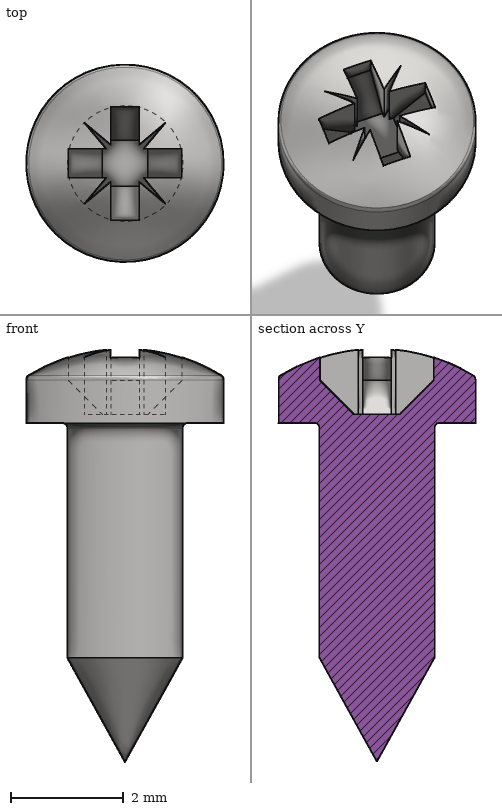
import cadquery as cq
import math

shank_length = 6.0
point_length = 1.85
shank_radius = 1.025
head_radius = 1.75
head_height = 1.33
rim_height = 0.82
rim_fillet = 0.09
neck_fillet = 0.08

recess_depth = 1.17
arm_width = 0.51
arm_reach = 1.005
floor_reach = 0.405

groove_reach = 1.015
groove_half_angle = math.radians(5)

dome_sag = head_height - rim_height
dome_radius = (head_radius ** 2 + dome_sag ** 2) / (2 * dome_sag)
floor_z = head_height - recess_depth


def dome_height(radius):
    """Height of the dome surface at a distance from the axis."""
    return head_height - dome_radius + math.sqrt(dome_radius ** 2 - radius ** 2)


def make_body():
    """Revolve half the screw outline, then round the rim of the head."""
    dome_middle = head_radius / 2
    outline = (
        cq.Workplane("XZ")
        .moveTo(0, -shank_length)
        .lineTo(shank_radius, point_length - shank_length)
        .lineTo(shank_radius, -neck_fillet)
        .tangentArcPoint((shank_radius + neck_fillet, 0), relative=False)
        .lineTo(head_radius, 0)
        .lineTo(head_radius, rim_height)
        .threePointArc((dome_middle, dome_height(dome_middle)), (0, head_height))
        .close()
    )
    body = outline.revolve(360, (0, 0, 0), (0, 1, 0))
    rim_center = cq.selectors.NearestToPointSelector((0, 0, rim_height))
    return body.edges("%CIRCLE").edges(rim_center).fillet(rim_fillet)


def make_arm_pair(angle):
    """Cutter for two opposite arms: upright ends that turn 45 degrees in towards the floor."""
    slope_top_z = floor_z + arm_reach - floor_reach
    profile = [
        (-floor_reach, floor_z),
        (floor_reach, floor_z),
        (arm_reach, slope_top_z),
        (arm_reach, head_height),
        (-arm_reach, head_height),
        (-arm_reach, slope_top_z),
    ]
    slot = cq.Workplane("XZ").polyline(profile).close().extrude(arm_width / 2, both=True)
    return slot.rotate((0, 0, 0), (0, 0, 1), angle)


def make_groove(angle):
    """Cutter for one star groove, tapering to a point away from the axis."""
    half_width = groove_reach * math.tan(groove_half_angle)
    wedge = (
        cq.Workplane("XY", origin=(0, 0, floor_z))
        .polyline([(0, -half_width), (groove_reach, 0), (0, half_width)])
        .close()
        .extrude(recess_depth)
    )
    return wedge.rotate((0, 0, 0), (0, 0, 1), angle)


result = make_body()
for arm_angle in (0, 90):
    result = result.cut(make_arm_pair(arm_angle))
for groove_angle in (45, 135, 225, 315):
    result = result.cut(make_groove(groove_angle))